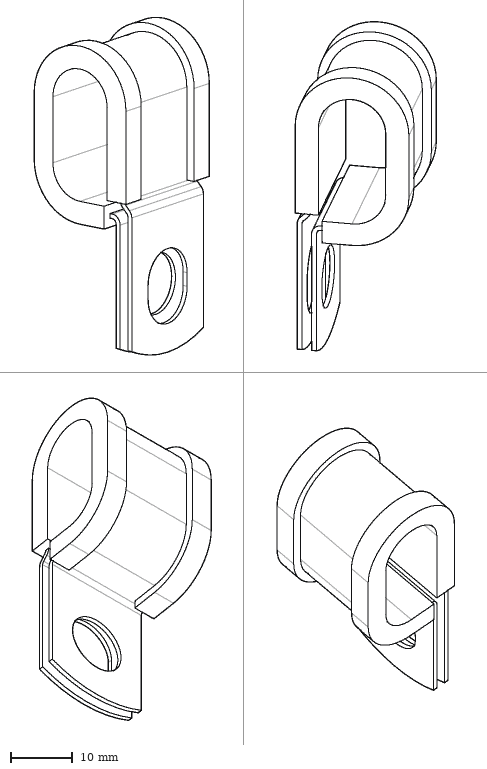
import cadquery as cq
import math

OPENING_WIDTH = 11.11
ARC_SPACING = 11.11
CUSHION_SIZE_X = 18.84
CUSHION_WIDTH = 22.1
LOOP_RADIUS = CUSHION_SIZE_X / 2
CUSHION_THICKNESS = LOOP_RADIUS - OPENING_WIDTH / 2
UPPER_CENTRE_Z = ARC_SPACING / 2
LOWER_CENTRE_Z = -ARC_SPACING / 2
TOP_Z = UPPER_CENTRE_Z + LOOP_RADIUS
LEG_LENGTH = 15.63
LEG_END_Z = UPPER_CENTRE_Z - LEG_LENGTH
ARM_END_X = 4.95

STRAP_WIDTH = 19.0
STRAP_THICKNESS = 0.8
STRAP_DEPTH = 1.5
GROOVE_WIDTH = 14.0
BEND_INNER_RADIUS = STRAP_THICKNESS
BEND_OUTER_RADIUS = BEND_INNER_RADIUS + STRAP_THICKNESS

OVERALL_HEIGHT = 52.24
TAB_GAP = 1.6
JOG_LEAD = 0.1
TAB_END_Z = TOP_Z - OVERALL_HEIGHT
TAB_CORNER_RISE = 2.15
BOLT_HOLE_DIAMETER = 10.3
BOLT_SLOT_LENGTH = 12.6
BOLT_HOLE_Z = TOP_Z - 41.1
RIGHT_TAB_X = LOOP_RADIUS
LEFT_TAB_X = RIGHT_TAB_X - STRAP_THICKNESS - TAB_GAP


def extrude_centred(outline, width):
    """Extrude an XZ outline along Y, symmetric about the midplane."""
    return outline.extrude(width / 2, both=True)


def loop_layer(outer_depth, inner_depth, width):
    """Layer of the open loop between two depths below its outer face."""
    outer = LOOP_RADIUS - outer_depth
    inner = LOOP_RADIUS - inner_depth
    outline = (
        cq.Workplane("XZ")
        .moveTo(outer, LEG_END_Z)
        .lineTo(outer, UPPER_CENTRE_Z)
        .threePointArc((0, UPPER_CENTRE_Z + outer), (-outer, UPPER_CENTRE_Z))
        .lineTo(-outer, LOWER_CENTRE_Z)
        .radiusArc((0, LOWER_CENTRE_Z - outer), -outer)
        .lineTo(ARM_END_X, LOWER_CENTRE_Z - outer)
        .lineTo(ARM_END_X, LOWER_CENTRE_Z - inner)
        .lineTo(0, LOWER_CENTRE_Z - inner)
        .radiusArc((-inner, LOWER_CENTRE_Z), inner)
        .lineTo(-inner, UPPER_CENTRE_Z)
        .threePointArc((0, UPPER_CENTRE_Z + inner), (inner, UPPER_CENTRE_Z))
        .lineTo(inner, LEG_END_Z)
        .close()
    )
    return extrude_centred(outline, width)


def right_tab():
    """Tab that leaves the right leg through a 45 degree jog out to the loop's side."""
    diagonal = math.sqrt(0.5)
    bend_shift = (1 - diagonal) * (BEND_INNER_RADIUS + BEND_OUTER_RADIUS)
    slope_run = STRAP_DEPTH - bend_shift
    upper_bend_x = LOOP_RADIUS - STRAP_DEPTH + BEND_INNER_RADIUS
    upper_bend_z = LEG_END_Z - JOG_LEAD
    lower_bend_x = RIGHT_TAB_X - BEND_OUTER_RADIUS
    bend_drop = diagonal * (BEND_INNER_RADIUS + BEND_OUTER_RADIUS)
    lower_bend_z = upper_bend_z - bend_drop - slope_run

    def upper_bend_point(radius):
        return (upper_bend_x - radius * diagonal, upper_bend_z - radius * diagonal)

    def lower_bend_point(radius):
        return (lower_bend_x + radius * diagonal, lower_bend_z + radius * diagonal)

    outline = (
        cq.Workplane("XZ")
        .moveTo(upper_bend_x - BEND_INNER_RADIUS, LEG_END_Z)
        .lineTo(upper_bend_x - BEND_INNER_RADIUS, upper_bend_z)
        .radiusArc(upper_bend_point(BEND_INNER_RADIUS), -BEND_INNER_RADIUS)
        .lineTo(*lower_bend_point(BEND_OUTER_RADIUS))
        .radiusArc((RIGHT_TAB_X, lower_bend_z), BEND_OUTER_RADIUS)
        .lineTo(RIGHT_TAB_X, TAB_END_Z)
        .lineTo(RIGHT_TAB_X - STRAP_THICKNESS, TAB_END_Z)
        .lineTo(RIGHT_TAB_X - STRAP_THICKNESS, lower_bend_z)
        .radiusArc(lower_bend_point(BEND_INNER_RADIUS), -BEND_INNER_RADIUS)
        .lineTo(*upper_bend_point(BEND_OUTER_RADIUS))
        .radiusArc((upper_bend_x - BEND_OUTER_RADIUS, upper_bend_z), BEND_OUTER_RADIUS)
        .lineTo(upper_bend_x - BEND_OUTER_RADIUS, LEG_END_Z)
        .close()
    )
    return extrude_centred(outline, STRAP_WIDTH)


def left_tab():
    """Tab that leaves the lower arm and turns straight down."""
    strap_bottom_z = LOWER_CENTRE_Z - LOOP_RADIUS + STRAP_DEPTH
    strap_top_z = strap_bottom_z + STRAP_THICKNESS
    bend_x = LEFT_TAB_X - BEND_OUTER_RADIUS
    bend_z = strap_top_z - BEND_OUTER_RADIUS
    outline = (
        cq.Workplane("XZ")
        .moveTo(ARM_END_X, strap_top_z)
        .lineTo(bend_x, strap_top_z)
        .radiusArc((LEFT_TAB_X, bend_z), BEND_OUTER_RADIUS)
        .lineTo(LEFT_TAB_X, TAB_END_Z)
        .lineTo(LEFT_TAB_X - STRAP_THICKNESS, TAB_END_Z)
        .lineTo(LEFT_TAB_X - STRAP_THICKNESS, bend_z)
        .radiusArc((bend_x, strap_bottom_z), -BEND_INNER_RADIUS)
        .lineTo(ARM_END_X, strap_bottom_z)
        .close()
    )
    return extrude_centred(outline, STRAP_WIDTH)


def round_tab_end(tab):
    """Round the lower end of a tab with one wide arc."""
    half_width = STRAP_WIDTH / 2
    corner_z = TAB_END_Z + TAB_CORNER_RISE
    silhouette = (
        cq.Workplane("YZ")
        .moveTo(-half_width, TOP_Z)
        .lineTo(-half_width, corner_z)
        .threePointArc((0, TAB_END_Z), (half_width, corner_z))
        .lineTo(half_width, TOP_Z)
        .close()
        .extrude(LOOP_RADIUS)
    )
    return tab.intersect(silhouette)


def bolt_hole():
    """Round cutter along X for the left tab."""
    sketch = cq.Workplane("YZ").center(0, BOLT_HOLE_Z)
    return sketch.circle(BOLT_HOLE_DIAMETER / 2).extrude(LOOP_RADIUS)


def bolt_slot():
    """Cutter along X for the right tab, slotted along Z for adjustment."""
    sketch = cq.Workplane("YZ").center(0, BOLT_HOLE_Z)
    return sketch.slot2D(BOLT_SLOT_LENGTH, BOLT_HOLE_DIAMETER, 90).extrude(LOOP_RADIUS)


cushion = loop_layer(0, CUSHION_THICKNESS, CUSHION_WIDTH)
groove = loop_layer(0, STRAP_DEPTH, GROOVE_WIDTH)
strap_loop = loop_layer(STRAP_DEPTH, STRAP_DEPTH + STRAP_THICKNESS, STRAP_WIDTH)
slotted_tab = round_tab_end(right_tab()).cut(bolt_slot())
holed_tab = round_tab_end(left_tab()).cut(bolt_hole())

result = cushion.cut(groove).union(strap_loop).union(slotted_tab).union(holed_tab)